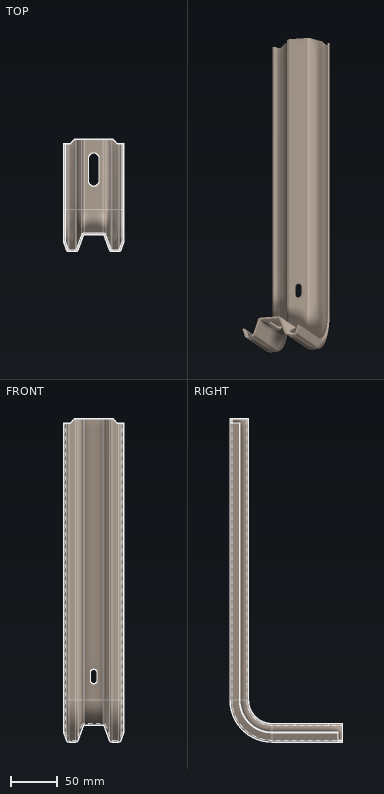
import cadquery as cq
import math

leg_height = 345.0
arm_length = 120.0
overall_width = 64.0

sheet = 2.0
section_depth = 20.0
wall_slope = math.radians(20)
fold_inside = 1.0
fold_outside = fold_inside + sheet
flange_inner = 17.2
lip_height = 10.7

bend_outer = 45.0

relief_depth = 5.0
relief_start = 20.5

leg_slot_width = 7.0
leg_slot_length = 15.2
leg_slot_height = 70.0
arm_slot_width = 11.0
arm_slot_length = 35.2
arm_slot_end_gap = 32.5


def section_corners():
    """Sharp corners (x, depth, fold radius) of the hat section, with its web at full depth."""
    lean = math.tan(wall_slope)
    miter = sheet * math.tan((math.pi / 2 - wall_slope) / 2)
    web_depth = section_depth - sheet
    tip_outer_depth = lip_height - sheet * math.sin(wall_slope)
    tip_outer = overall_width / 2
    tip_inner = tip_outer - sheet * math.cos(wall_slope)
    flange_outer = tip_outer - tip_outer_depth * lean
    web_half = flange_inner - web_depth * lean

    right_side = [
        (web_half, web_depth, fold_inside),
        (flange_inner, 0, fold_outside),
        (flange_outer, 0, fold_outside),
        (tip_outer, tip_outer_depth, 0),
        (tip_inner, lip_height, 0),
        (flange_outer - miter, sheet, fold_inside),
        (flange_inner + miter, sheet, fold_inside),
        (web_half + miter, section_depth, fold_outside),
    ]
    left_side = [(-x, depth, radius) for x, depth, radius in reversed(right_side)]
    return right_side + left_side


def draw_section(plane):
    """Draw the hat section as a closed wire, rounding each fold with a tangent arc."""
    corners = section_corners()
    points = [cq.Vector(x, depth) for x, depth, _ in corners]
    for i, (_, _, radius) in enumerate(corners):
        corner = points[i]
        to_previous = (points[i - 1] - corner).normalized()
        to_next = (points[(i + 1) % len(points)] - corner).normalized()
        half_angle = to_previous.getAngle(to_next) / 2
        setback = radius / math.tan(half_angle)
        bisector = (to_previous + to_next).normalized()
        arc_start = corner + to_previous * setback
        arc_middle = corner + bisector * (radius / math.sin(half_angle) - radius)
        arc_end = corner + to_next * setback
        if i == 0:
            plane = plane.moveTo(arc_start.x, arc_start.y)
        else:
            plane = plane.lineTo(arc_start.x, arc_start.y)
        if radius > 0:
            plane = plane.threePointArc((arc_middle.x, arc_middle.y), (arc_end.x, arc_end.y))
    return plane.close()


def sweep_section():
    """Leg, quarter bend and arm, all carrying the same hat section."""
    leg_start = cq.Workplane("XY", origin=(0, 0, bend_outer))
    arm_start = cq.Workplane("XZ", origin=(0, bend_outer, 0))
    leg = draw_section(leg_start).extrude(leg_height - bend_outer)
    bend = draw_section(leg_start).revolve(90, (0, bend_outer, 0), (1, bend_outer, 0))
    arm = draw_section(arm_start).extrude(bend_outer - arm_length)
    return leg.union(bend).union(arm)


def corner_reliefs(plane, end, depth):
    """Cutters that trim both end corners at 45 degrees, then straight across the lips."""
    cutters = cq.Workplane(plane)
    for side in (-1, 1):
        outline = [
            (side * relief_start, end),
            (side * (relief_start + relief_depth), end - relief_depth),
            (side * overall_width, end - relief_depth),
            (side * overall_width, end),
        ]
        cutters = cutters.polyline(outline).close()
    return cutters.extrude(depth)


def web_slot(plane, centre, length, width, depth):
    """Cutter for a round-ended slot running along the section."""
    return cq.Workplane(plane).center(0, centre).slot2D(length, width, 90).extrude(depth)


result = (
    sweep_section()
    .cut(corner_reliefs("XZ", leg_height, -section_depth))
    .cut(corner_reliefs("XY", arm_length, section_depth))
    .cut(web_slot("XZ", leg_slot_height, leg_slot_length, leg_slot_width, -section_depth))
    .cut(web_slot("XY", arm_length - arm_slot_end_gap, arm_slot_length, arm_slot_width, section_depth))
)